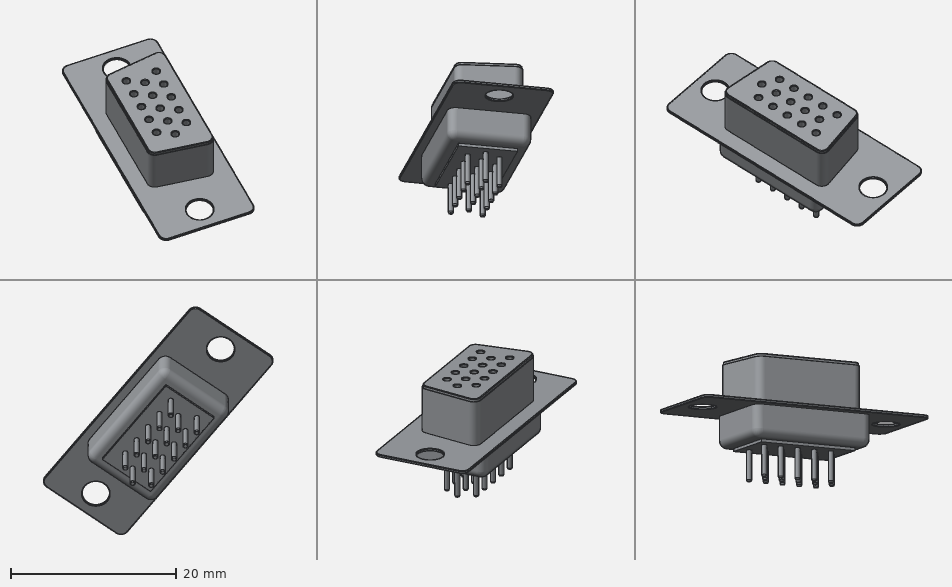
import cadquery as cq
import math

plate_length = 30.8
plate_width = 12.5
plate_thickness = 0.37
plate_corner_radius = 1.0
plate_chamfer = 0.1
mount_hole_diameter = 3.3
mount_hole_spacing = 25.0

shell_wide_length = 16.32
shell_width = 8.3
shell_side_angle = 8.0
shell_corner_radius = 1.0
shell_height = 5.75

face_inset = 0.1
face_rise = 0.37
face_chamfer = 0.1

housing_length = 15.83
housing_width = 10.32
housing_bottom_z = -4.35
housing_corner_radius = 1.02
housing_bottom_radius = 1.0

base_length = 12.72
base_width = 7.33
base_thickness = 0.37

contacts_per_row = 5
contact_pitch = 2.28
row_spacing = 1.97
socket_diameter = 0.85
socket_chamfer = 0.1
pin_diameter = 0.65
pin_chamfer = 0.1
pin_tip_length = 0.2

overall_height = 14.7
top_z = shell_height + face_rise
pin_tip_z = top_z - overall_height
socket_depth = top_z


def contact_points():
    points = []
    for row in (-1, 0, 1):
        row_shift = contact_pitch / 4 if row == 0 else -contact_pitch / 4
        for column in range(contacts_per_row):
            x = (column - (contacts_per_row - 1) / 2) * contact_pitch + row_shift
            points.append((x, row * row_spacing))
    return points


def make_shell():
    half_width = shell_width / 2
    half_wide = shell_wide_length / 2
    half_narrow = half_wide - shell_width * math.tan(math.radians(shell_side_angle))
    return (
        cq.Workplane("XY")
        .moveTo(-half_wide, half_width)
        .lineTo(-half_narrow, -half_width)
        .lineTo(half_narrow, -half_width)
        .lineTo(half_wide, half_width)
        .close()
        .extrude(shell_height)
        .edges("not(#Z)")
        .fillet(shell_corner_radius)
    )


def make_face(shell):
    """Insulator face: the shell outline drawn in, raised and chamfered."""
    return (
        shell.faces(">Z")
        .wires()
        .toPending()
        .workplane()
        .offset2D(-face_inset)
        .extrude(face_rise, combine=False)
        .faces(">Z")
        .chamfer(face_chamfer)
    )


def make_plate():
    plate = (
        cq.Workplane("XY")
        .box(plate_length, plate_width, plate_thickness, centered=(True, True, False))
        .translate((0, 0, -plate_thickness))
        .edges("|Z")
        .fillet(plate_corner_radius)
        .faces(">Z")
        .workplane()
        .pushPoints([(-mount_hole_spacing / 2, 0), (mount_hole_spacing / 2, 0)])
        .hole(mount_hole_diameter)
    )
    return plate.faces("<Z or >Z").edges().chamfer(plate_chamfer)


def make_housing():
    return (
        cq.Workplane("XY", origin=(0, 0, housing_bottom_z))
        .rect(housing_length, housing_width)
        .extrude(-housing_bottom_z - plate_thickness)
        .edges("|Z")
        .fillet(housing_corner_radius)
        .faces("<Z")
        .edges()
        .fillet(housing_bottom_radius)
    )


def make_base():
    return (
        cq.Workplane("XY", origin=(0, 0, housing_bottom_z))
        .rect(base_length, base_width)
        .extrude(-base_thickness)
    )


def make_pins():
    """Contact tails running from the housing down to tapered tips."""
    return (
        cq.Workplane("XY", origin=(0, 0, pin_tip_z))
        .pushPoints(contact_points())
        .circle(pin_diameter / 2)
        .extrude(housing_bottom_z - pin_tip_z)
        .faces("<Z")
        .edges()
        .chamfer(pin_tip_length, pin_chamfer)
    )


def make_sockets():
    """Cutters for the blind contact holes with their countersunk mouths."""
    socket_radius = socket_diameter / 2
    socket = (
        cq.Workplane("XZ")
        .moveTo(0, 0)
        .lineTo(socket_radius + socket_chamfer, 0)
        .lineTo(socket_radius, -socket_chamfer)
        .lineTo(socket_radius, -socket_depth)
        .lineTo(0, -socket_depth)
        .close()
        .revolve(360, (0, 0, 0), (0, 1, 0))
        .val()
    )
    cutters = cq.Workplane("XY")
    for x, y in contact_points():
        cutters = cutters.add(socket.moved(cq.Location(cq.Vector(x, y, top_z))))
    return cutters


shell = make_shell()
result = make_plate().union(shell).union(make_face(shell))
result = result.union(make_housing()).union(make_base()).union(make_pins())
for socket_cutter in make_sockets().vals():
    result = result.cut(cq.Workplane(socket_cutter))